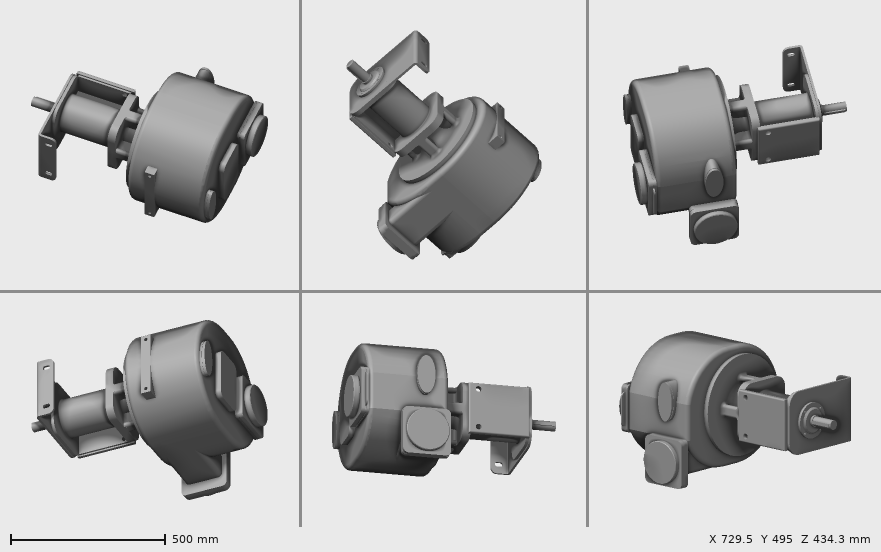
import cadquery as cq
import math


collar_x = 78.0
cap_x = 86.0
cap_disc_x = 93.0
bracket_x = 101.5
rear_flange_x = 109.5
barrel_x = 120.0
lantern_flange_x = 305.0
lantern_x = 332.0
backplate_x = 399.0
casing_x = 415.0
casing_end_x = 681.0
total_length = 729.5

shaft_r = 16.0
key_start, key_end = 5.0, 76.5
key_width = 10.0
key_top = 20.0
collar_r = 19.0
cap_r = 44.5
cap_chamfer = 6.0
cap_disc_r = 60.0
cap_hole_r = 4.0
cap_hole_spacing = 73.0
cap_hole_depth = 7.0

pilot_r = 90.5
flange_half = 100.0
flange_corner_r = 41.0
barrel_r = 64.0
barrel_fillet = 4.0

hub_r = 44.0
flare_r = 42.0
rib_cap_half = 20.0
rib_cap_height = 20.0
rib_web_half = rib_cap_half - rib_cap_height / 2
rib_foot_fillet = 10.0
lantern_root_r = 13.0
backplate_r = 168.5

casing_r = 198.5
casing_side_y = 246.0
upper_arc_y = 52.0
lower_arc_y = 65.0
casing_fillet = 15.0

port_size = 160.5
port_x = casing_x + port_size / 2
discharge_z = -155.5
port_plate = 15.0
inner_corner_r = 15.0
outer_corner_r = 19.0
discharge_ring_r = 71.5
discharge_ring_y = 295.0
duct_top_z = -111.0
ring_chamfer = 2.0

suction_y = 165.5
suction_z = -17.5
suction_flange_x = 707.5
suction_ring_r = 69.0
tab_x, tab_thickness = 689.5, 5.0
tab_end_y = 262.5
tab_height = 114.0
tab_corner_r = 14.5
suction_gap_depth = 1.5
cover_y = -5.5
cover_width, cover_height = 120.5, 181.0
cover_end_x = 701.0
cover_corner_r = 25.0
plug_width, plug_height = 60.0, 130.0
drain_y = -155.5
drain_end_x = 699.0
filler_z = 43.0
filler_end_y = 269.0
plug_rim = 8.0
plug_groove_width = 2.0
plug_groove_depth = 1.5

block_x, block_width = 478.5, 33.5
block_bottom, block_top = -120.5, 99.0
base_y = -200.0
block_hole_r = 6.0
block_hole_inset = 14.5
block_hole_depth = 14.5

guard_x, guard_end_x = 111.5, 315.0
guard_y = 114.0
guard_half_height = 86.0
guard_rounding = 5.0
guard_lip_depth = 6.5
guard_lip_half_height = 81.0
guard_hole_x, guard_hole_z, guard_hole_r = 283.0, 65.0, 9.5
guard_rib_thickness = 9.0

bracket_thickness = rear_flange_x - bracket_x
bracket_half_height = 106.0
bracket_foot_x = 165.5
bracket_bend_r = 12.0
bracket_corner_r = 44.0
foot_corner_r = 19.0
bracket_bolt_offset = 76.0
bracket_bolt_r = 8.0
slot_x, foot_slot_length, foot_slot_width = 140.0, 25.5, 14.5
foot_slot_z = 74.5

select_margin = 1.0


def disc(radius, start, end):
    """Cylinder on the shaft axis between two X stations."""
    return cq.Workplane("YZ", origin=(start, 0, 0)).circle(radius).extrude(end - start)


def block(x, y, z):
    """Box given by its (low, high) limits on each axis."""
    solid = cq.Workplane("XY").box(x[1] - x[0], y[1] - y[0], z[1] - z[0], centered=False)
    return solid.translate((x[0], y[0], z[0]))


def x_plane(x, y, z):
    """Sketch plane facing +X: local x is Y, local y is Z."""
    return cq.Workplane("YZ", origin=(x, y, z))


def y_plane(x, y, z):
    """Sketch plane facing +Y: local x is -X, local y is Z."""
    return cq.Workplane("XZ", origin=(x, y, z)).transformed(rotate=(0, 180, 0))


def edges_within(start, end, reach):
    """Selector for edges between two X stations and no further than reach from the axis in Y and Z."""
    low = (start - select_margin, -reach - select_margin, -reach - select_margin)
    high = (end + select_margin, reach + select_margin, reach + select_margin)
    return cq.selectors.BoxSelector(low, high, boundingbox=True)


def square_flange(start, end):
    plate = x_plane(start, 0, 0).rect(2 * flange_half, 2 * flange_half).extrude(end - start)
    return plate.edges("|X").fillet(flange_corner_r)


def make_shaft():
    shaft = disc(shaft_r, 0, collar_x).union(disc(collar_r, collar_x, cap_x))
    key = block((key_start, key_end), (0, key_top), (-key_width / 2, key_width / 2))
    return shaft.union(key)


def make_bracket_seat():
    """Pilot and four bolts that fill the bracket's openings, flush with its outer face."""
    bolt_spacing = 2 * bracket_bolt_offset
    bolts = x_plane(bracket_x, 0, 0).rect(bolt_spacing, bolt_spacing, forConstruction=True).vertices()
    bolts = bolts.circle(bracket_bolt_r).extrude(bracket_thickness)
    return disc(pilot_r, bracket_x, rear_flange_x).union(bolts)


def make_bearing_housing():
    cap = disc(cap_r, cap_x, cap_disc_x).faces("<X").chamfer(cap_chamfer)
    cap_disc = (
        disc(cap_disc_r, cap_disc_x, bracket_x)
        .faces("<X").workplane(origin=(cap_disc_x, 0, 0))
        .rect(cap_hole_spacing, cap_hole_spacing, forConstruction=True).vertices()
        .hole(2 * cap_hole_r, cap_hole_depth)
    )
    housing = square_flange(rear_flange_x, barrel_x).union(square_flange(lantern_flange_x, lantern_x))
    housing = housing.union(disc(barrel_r, barrel_x, lantern_flange_x))
    barrel_edges = edges_within(barrel_x, lantern_flange_x, barrel_r)
    housing = housing.edges(barrel_edges).edges("%CIRCLE").fillet(barrel_fillet)
    housing = housing.union(make_bracket_seat())
    return housing.union(cap_disc).union(cap)


def make_hub():
    """Round core of the lantern, spreading a little at the flange and widely at the back plate."""
    root_x = lantern_x + lantern_root_r
    flare_x = backplate_x - flare_r
    root_inset = lantern_root_r * (1 - math.sqrt(0.5))
    flare_inset = flare_r * (1 - math.sqrt(0.5))
    profile = (
        cq.Workplane("XY").moveTo(lantern_x, 0).lineTo(lantern_x, hub_r + lantern_root_r)
        .threePointArc((lantern_x + root_inset, hub_r + root_inset), (root_x, hub_r))
        .lineTo(flare_x, hub_r)
        .threePointArc((backplate_x - flare_inset, hub_r + flare_inset), (backplate_x, hub_r + flare_r))
        .lineTo(backplate_x, 0).close()
    )
    return profile.revolve(360, (0, 0, 0), (1, 0, 0))


def make_rib():
    """T-shaped rib on the +Z side: a web that spreads at the flange, under a cap with round edges."""
    root_x = lantern_x + lantern_root_r
    root_inset = lantern_root_r * (1 - math.sqrt(0.5))
    root_half = rib_web_half + lantern_root_r
    web = (
        cq.Workplane("XY").moveTo(lantern_x, 0).lineTo(lantern_x, root_half)
        .threePointArc((lantern_x + root_inset, rib_web_half + root_inset), (root_x, rib_web_half))
        .lineTo(backplate_x, rib_web_half).lineTo(backplate_x, 0).close()
        .extrude(flange_half)
    )
    web = web.union(web.mirror("XZ"))
    cap = x_plane(lantern_x, 0, flange_half - rib_cap_height / 2).slot2D(2 * rib_cap_half, rib_cap_height)
    return web.union(cap.extrude(backplate_x - lantern_x))


def make_lantern():
    lantern = make_hub().union(disc(backplate_r, backplate_x, casing_x))
    rib = make_rib()
    for quarter in range(4):
        lantern = lantern.union(rib.rotate((0, 0, 0), (1, 0, 0), 90 * quarter))
    feet = edges_within(backplate_x, backplate_x, flange_half)
    return lantern.edges(feet).fillet(rib_foot_fillet)


def make_casing():
    upper_z = math.sqrt(casing_r**2 - (casing_side_y - upper_arc_y) ** 2)
    lower_z = -math.sqrt(casing_r**2 - (casing_side_y - lower_arc_y) ** 2)
    diagonal = casing_r * math.sqrt(0.5)
    outline = (
        x_plane(casing_x, 0, 0).moveTo(0, casing_r).lineTo(upper_arc_y, casing_r)
        .threePointArc((upper_arc_y + diagonal, diagonal), (casing_side_y, upper_z))
        .lineTo(casing_side_y, lower_z)
        .threePointArc((lower_arc_y + diagonal, -diagonal), (lower_arc_y, -casing_r))
        .lineTo(0, -casing_r).threePointArc((-casing_r, 0), (0, casing_r)).close()
    )
    return outline.extrude(casing_end_x - casing_x).faces("<X or >X").edges().fillet(casing_fillet)


def make_discharge():
    duct_x = casing_x + casing_fillet
    duct_end_x = casing_x + port_size - casing_fillet
    duct = block((duct_x, duct_end_x), (lower_arc_y, casing_side_y), (-casing_r, duct_top_z))
    port = duct.edges("|Y").fillet(casing_fillet)
    for layer, corner_r in enumerate((inner_corner_r, outer_corner_r)):
        plate = y_plane(port_x, casing_side_y + layer * port_plate, discharge_z)
        plate = plate.rect(port_size, port_size).extrude(port_plate).edges("|Y").fillet(corner_r)
        port = port.union(plate)
    ring_y = casing_side_y + 2 * port_plate
    ring = y_plane(port_x, ring_y, discharge_z).circle(discharge_ring_r).extrude(discharge_ring_y - ring_y)
    return port.union(ring.edges().chamfer(ring_chamfer))


def make_suction():
    flange = x_plane(casing_end_x, suction_y, suction_z).rect(port_size, port_size)
    flange = flange.extrude(suction_flange_x - casing_end_x).edges("|X").fillet(inner_corner_r)
    core_size = port_size - 2 * suction_gap_depth
    gap = x_plane(tab_x, suction_y, suction_z).rect(port_size, port_size).rect(core_size, core_size)
    flange = flange.cut(gap.extrude(tab_thickness))
    ring = x_plane(suction_flange_x, suction_y, suction_z).circle(suction_ring_r)
    ring = ring.extrude(total_length - suction_flange_x).edges().chamfer(ring_chamfer)
    tab = block(
        (tab_x, tab_x + tab_thickness),
        (suction_y, tab_end_y),
        (suction_z - tab_height / 2, suction_z + tab_height / 2),
    )
    tab = tab.faces(">Y").edges("|X").fillet(tab_corner_r)
    return flange.union(ring).union(tab)


def oval_plug(plane, length):
    """Oval plug standing on a plane, with a narrow groove behind its outer rim."""
    plug = plane.ellipse(plug_width / 2, plug_height / 2).extrude(length)
    groove_plane = plane.workplane(offset=length - plug_rim - plug_groove_width)
    groove = groove_plane.ellipse(plug_width / 2, plug_height / 2).extrude(plug_groove_width)
    core = groove_plane.ellipse(plug_width / 2 - plug_groove_depth, plug_height / 2 - plug_groove_depth)
    return plug.cut(groove.cut(core.extrude(plug_groove_width)))


def make_covers():
    cover = x_plane(casing_end_x, cover_y, suction_z).rect(cover_width, cover_height)
    cover = cover.extrude(cover_end_x - casing_end_x).edges("|X").fillet(cover_corner_r)
    drain_x = casing_end_x - casing_fillet
    drain = oval_plug(x_plane(drain_x, drain_y, suction_z), drain_end_x - drain_x)
    filler = oval_plug(y_plane(port_x, suction_y, filler_z), filler_end_y - suction_y)
    return cover.union(drain).union(filler)


def make_mounting_block():
    body = block((block_x, block_x + block_width), (base_y, -casing_r / 2), (block_bottom, block_top))
    for z in (block_bottom + block_hole_inset, block_top - block_hole_inset):
        hole = y_plane(block_x + block_width / 2, base_y, z).circle(block_hole_r).extrude(block_hole_depth)
        body = body.cut(hole)
    return body


def make_guard():
    """Plate resting on both square flanges, with a lip and a rib reaching in to the barrel."""
    plate = block((guard_x, guard_end_x), (flange_half, guard_y), (-guard_half_height, guard_half_height))
    plate = plate.faces(">Y").edges().fillet(guard_rounding)
    lip = block(
        (barrel_x, lantern_flange_x),
        (flange_half - guard_lip_depth, flange_half),
        (-guard_lip_half_height, guard_lip_half_height),
    )
    guard = plate.union(lip)
    for z in (-guard_hole_z, guard_hole_z):
        hole = y_plane(guard_hole_x, 0, z).circle(guard_hole_r).extrude(guard_y)
        guard = guard.cut(hole)
    rib = block(
        (barrel_x, lantern_flange_x),
        (barrel_r / 2, flange_half),
        (-guard_rib_thickness / 2, guard_rib_thickness / 2),
    )
    return guard.union(rib)


def make_pump():
    pump = make_casing()
    sections = (
        make_discharge(), make_suction(), make_covers(), make_mounting_block(),
        make_lantern(), make_bearing_housing(), make_guard(), make_shaft(),
    )
    for section in sections:
        pump = pump.union(section)
    return pump


def make_bracket():
    """Bent plate: an upright bolted to the rear flange and a foot with two slots."""
    outer = block(
        (bracket_x, bracket_foot_x), (base_y, flange_half), (-bracket_half_height, bracket_half_height)
    ).edges("|Z and <X and <Y").fillet(bracket_bend_r)
    inner = block(
        (rear_flange_x, bracket_foot_x),
        (base_y + bracket_thickness, flange_half),
        (-bracket_half_height, bracket_half_height),
    ).edges("|Z and <X and <Y").fillet(bracket_bend_r - bracket_thickness)
    bracket = outer.cut(inner)
    bracket = bracket.faces(">Y").edges("|X").fillet(bracket_corner_r)
    bracket = bracket.faces(">X").edges("|Y").fillet(foot_corner_r)
    slots = (
        y_plane(slot_x, base_y, 0).pushPoints([(0, -foot_slot_z), (0, foot_slot_z)])
        .slot2D(foot_slot_length, foot_slot_width).extrude(bracket_thickness)
    )
    return bracket.cut(make_bracket_seat()).cut(slots)


pump = make_pump()
bracket = make_bracket()

result = cq.Compound.makeCompound([pump.solids().val(), bracket.solids().val()])